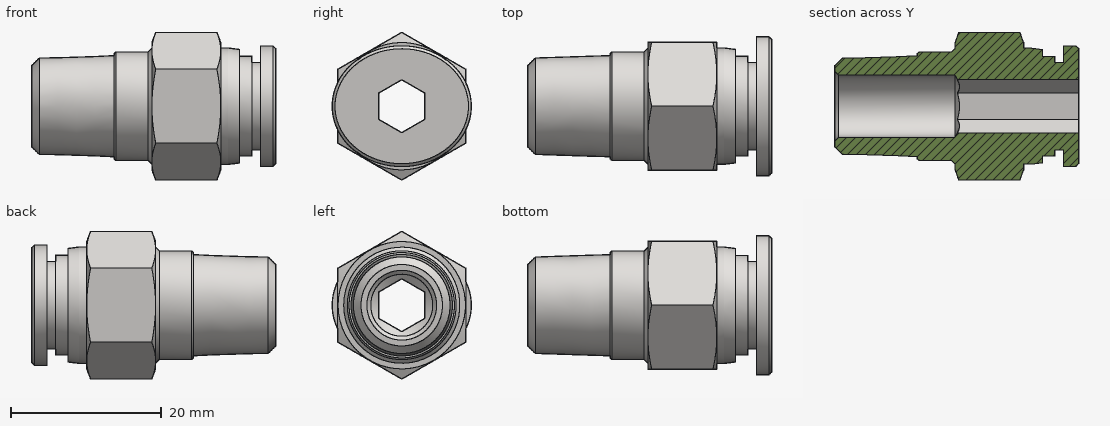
import cadquery as cq
import math

total_length = 32.4

thread_end = 10.95
thread_start_radius = 6.4
thread_end_radius = 6.75
thread_tip_radius = 5.4
thread_tip_chamfer = thread_start_radius - thread_tip_radius

collar_radius = 7.23
collar_chamfer = 0.23
collar_flare = 0.5

nut_start = 15.95
nut_end = 25.1
nut_corner_diameter = 19.65
nut_face_radius = 8.45
nut_chamfer_length = 0.52

sleeve_radius = 7.75
sleeve_end_radius = 7.55
sleeve_taper_start = 26.1
sleeve_end = 27.6
ring_radius = 6.65
ring_end = 29.22
neck_radius = 5.83

flange_start = 30.35
flange_width = 18.5
flange_height = 16.05
flange_chamfer = 0.4

bore_radius = 4.1
bore_mouth_radius = 4.63
bore_mouth_chamfer = bore_mouth_radius - bore_radius
bore_depth = nut_start
bore_floor_half_angle = 60.0
passage_flats = 6.05


def revolve_profile(points):
    """Revolve a closed outline of (x, radius) points about the X axis."""
    return cq.Workplane("XY").polyline(points).close().revolve(360, (0, 0, 0), (1, 0, 0))


def hexagonal_bar(start, end, corner_diameter):
    """Hexagonal bar along X with two corners pointing along Z."""
    bar = cq.Workplane("YZ", origin=(start, 0, 0)).polygon(6, corner_diameter).extrude(end - start)
    return bar.rotate((0, 0, 0), (1, 0, 0), 90)


def make_threaded_end():
    flare_start = nut_start - collar_flare
    return revolve_profile([
        (0, 0),
        (0, thread_tip_radius),
        (thread_tip_chamfer, thread_start_radius),
        (thread_end, thread_end_radius),
        (thread_end, collar_radius - collar_chamfer),
        (thread_end + collar_chamfer, collar_radius),
        (flare_start, collar_radius),
        (nut_start, collar_radius + collar_flare),
        (nut_start, 0),
    ])


def make_nut():
    corner_radius = nut_corner_diameter / 2
    envelope = revolve_profile([
        (nut_start, 0),
        (nut_start, nut_face_radius),
        (nut_start + nut_chamfer_length, corner_radius),
        (nut_end - nut_chamfer_length, corner_radius),
        (nut_end, nut_face_radius),
        (nut_end, 0),
    ])
    return hexagonal_bar(nut_start, nut_end, nut_corner_diameter).intersect(envelope)


def make_sleeve():
    return revolve_profile([
        (nut_end, 0),
        (nut_end, sleeve_radius),
        (sleeve_taper_start, sleeve_radius),
        (sleeve_end, sleeve_end_radius),
        (sleeve_end, ring_radius),
        (ring_end, ring_radius),
        (ring_end, neck_radius),
        (flange_start, neck_radius),
        (flange_start, 0),
    ])


def make_flange():
    return (
        cq.Workplane("YZ", origin=(flange_start, 0, 0))
        .ellipse(flange_width / 2, flange_height / 2)
        .extrude(total_length - flange_start)
        .faces(">X")
        .edges()
        .chamfer(flange_chamfer)
    )


def make_bore():
    floor_depth = bore_radius / math.tan(math.radians(bore_floor_half_angle))
    return revolve_profile([
        (0, 0),
        (0, bore_mouth_radius),
        (bore_mouth_chamfer, bore_radius),
        (bore_depth, bore_radius),
        (bore_depth + floor_depth, 0),
    ])


def make_passage():
    corner_diameter = passage_flats / math.cos(math.radians(30))
    return hexagonal_bar(bore_depth, total_length, corner_diameter)


body = make_threaded_end().union(make_nut()).union(make_sleeve()).union(make_flange())
result = body.cut(make_bore()).cut(make_passage())